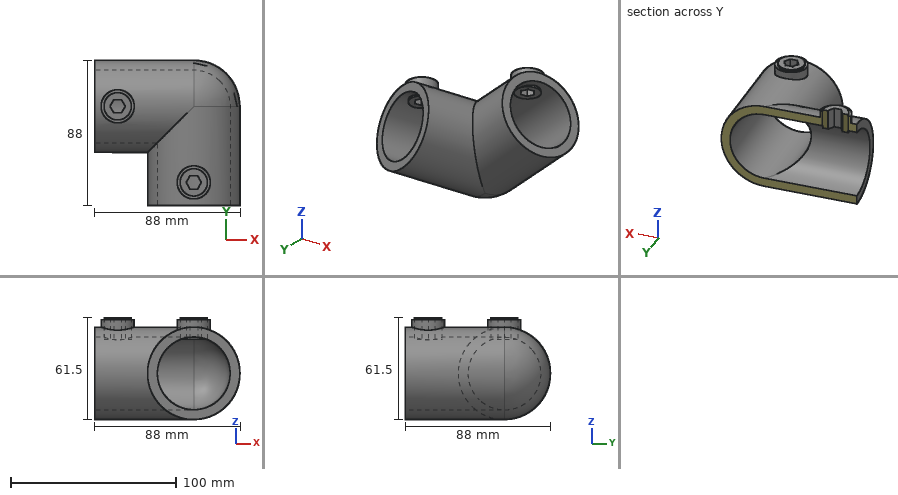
import cadquery as cq

overall_length = 88.0
outer_radius = 28.0
bore_radius = 22.0
socket_length = overall_length - outer_radius

boss_radius = 10.0
boss_top = 32.6
screw_radius = 8.3
screw_top = 33.5
screw_bottom = 20.6
hex_across_corners = 9.2
screw_inset = 14.0

screw_distance = socket_length - screw_inset
screw_points = [(-screw_distance, 0), (0, -screw_distance)]


def elbow_volume(radius):
    """Two rods along -X and -Y, rounded off by a sphere where they meet."""
    x_rod = cq.Workplane("YZ").circle(radius).extrude(-socket_length)
    y_rod = cq.Workplane("XZ").circle(radius).extrude(socket_length)
    corner = cq.Workplane("XY").sphere(radius)
    return x_rod.union(y_rod).union(corner)


def upright_cylinder(point, radius, bottom, top):
    """Vertical cylinder between two heights."""
    return cq.Workplane("XY", origin=(*point, bottom)).circle(radius).extrude(top - bottom)


def make_housing():
    """Hollow elbow with a drilled boss on top of each socket."""
    housing = elbow_volume(outer_radius)
    for point in screw_points:
        housing = housing.union(upright_cylinder(point, boss_radius, 0, boss_top))
    housing = housing.cut(elbow_volume(bore_radius))
    for point in screw_points:
        housing = housing.cut(upright_cylinder(point, screw_radius, 0, boss_top))
    return housing


def make_set_screw(point):
    """Plain round screw with a hexagonal hole all the way through."""
    screw = upright_cylinder(point, screw_radius, screw_bottom, screw_top)
    return screw.faces(">Z").workplane(origin=(*point, screw_top)).polygon(6, hex_across_corners).cutThruAll()


housing = make_housing()
set_screws = [make_set_screw(point) for point in screw_points]

result = cq.Compound.makeCompound([housing.val(), *[screw.val() for screw in set_screws]])